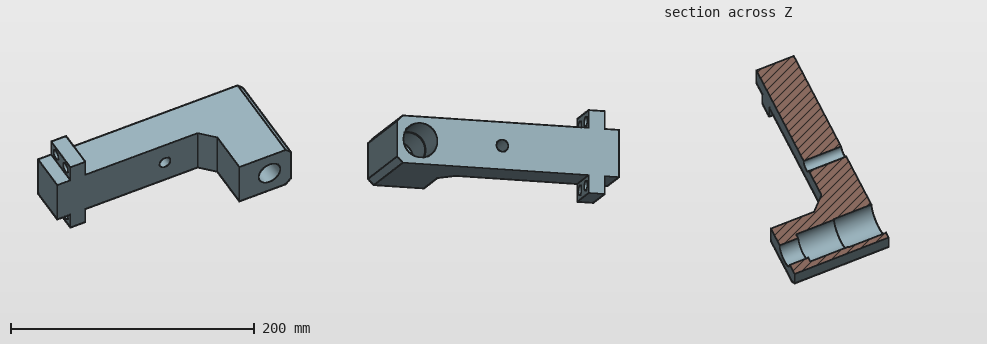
import cadquery as cq

length = 190.0
total_width = 85.0
flange_height = 70.0

arm_width = 34.0
body_height = 39.9
head_depth = 47.9
gusset = 12.0
rear_chamfer = 5.0

flange_front = 12.2
flange_thickness = 13.9
bolt_diameter = 8.5
bolt_spacing_x = 17.0
bolt_spacing_z = 54.0

bore_from_rear = 20.0
through_diameter = 20.0
seat_diameter = 29.0
seat_depth = arm_width
step_diameter = 28.0
step_depth = 2 * seat_depth
cross_hole_diameter = 10.0
cross_hole_from_rear = 90.0


def make_body():
    """L-shaped block with a gusset in the inner corner and a chamfered rear face."""
    head_front = length - head_depth
    body = (
        cq.Workplane("XY")
        .workplane(offset=-body_height / 2)
        .moveTo(0, 0)
        .lineTo(arm_width, 0)
        .lineTo(arm_width, head_front - gusset)
        .lineTo(arm_width + gusset, head_front)
        .lineTo(total_width, head_front)
        .lineTo(total_width, length)
        .lineTo(0, length)
        .close()
        .extrude(body_height)
    )
    return body.faces(">Y").edges("|X").chamfer(rear_chamfer)


def make_flange():
    """Plate standing above and below the arm, with four bolt holes along Y."""
    plate = cq.Workplane("XY").box(arm_width, flange_thickness, flange_height)
    plate = (
        plate.faces("<Y")
        .workplane(centerOption="CenterOfBoundBox")
        .rarray(bolt_spacing_x, bolt_spacing_z, 2, 2)
        .hole(bolt_diameter)
    )
    return plate.translate((arm_width / 2, flange_front + flange_thickness / 2, 0))


def x_cylinder(diameter, depth, from_rear):
    """Cylinder along +X starting at the X = 0 side."""
    return cq.Workplane("YZ").center(length - from_rear, 0).circle(diameter / 2).extrude(depth)


def make_bore():
    """Bore narrowing in two steps from X = 0: seat, step and through hole."""
    through = x_cylinder(through_diameter, total_width, bore_from_rear)
    step = x_cylinder(step_diameter, step_depth, bore_from_rear)
    seat = x_cylinder(seat_diameter, seat_depth, bore_from_rear)
    return through.union(step).union(seat)


cross_hole = x_cylinder(cross_hole_diameter, arm_width, cross_hole_from_rear)
result = make_body().union(make_flange()).cut(make_bore()).cut(cross_hole)